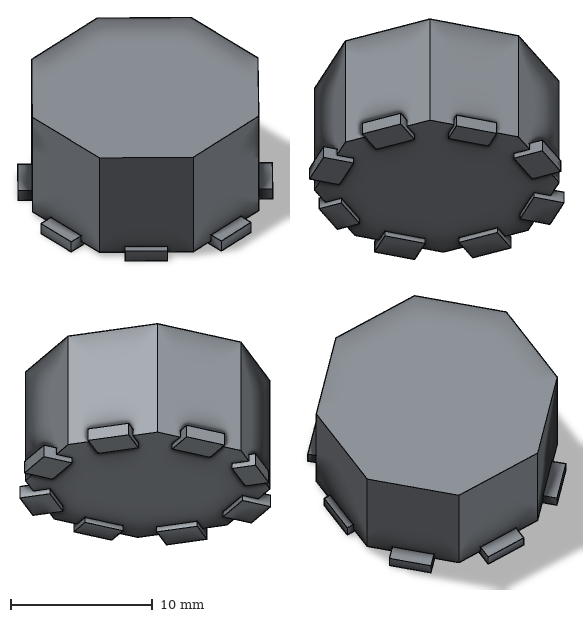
import cadquery as cq
import math

overall_length = 18.0
overall_height = 8.9
housing_width = 16.0
standoff = 0.4
pad_width = 3.0
pad_thickness = 0.9
pad_embed = 1.25
short_overhang = 0.5

flat_radius = housing_width / 2
housing_height = overall_height - standoff
long_overhang = (overall_length - housing_width) / 2
side_count = 8
side_angle = 360 / side_count
corner_diameter = housing_width / math.cos(math.pi / side_count)

short_sides = (2, 7)


def make_pad(side):
    """Rectangular pad crossing one octagon side, resting on Z = 0."""
    overhang = short_overhang if side in short_sides else long_overhang
    return (
        cq.Workplane("XY")
        .box(pad_embed + overhang, pad_width, pad_thickness, centered=(False, True, False))
        .translate((flat_radius - pad_embed, 0, 0))
        .rotate((0, 0, 0), (0, 0, 1), side * side_angle)
    )


def make_housing(pads):
    """Octagonal block with a matching recess in its lower edge for each pad."""
    housing = (
        cq.Workplane("XY")
        .workplane(offset=standoff)
        .polygon(side_count, corner_diameter)
        .extrude(housing_height)
        .rotate((0, 0, 0), (0, 0, 1), side_angle / 2)
    )
    for pad in pads:
        housing = housing.cut(pad)
    return housing


pads = [make_pad(side) for side in range(side_count)]
housing = make_housing(pads)

result = cq.Compound.makeCompound([housing.val(), *[pad.val() for pad in pads]])